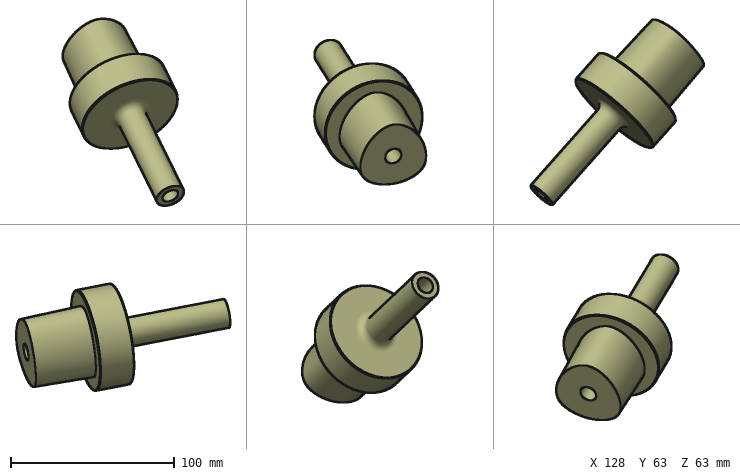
import cadquery as cq
import math

total_length = 128.0
shank_length = 38.0
flange_width = 22.0
flange_diameter = 63.0
flange_chamfer = 0.5
bar_diameter = 18.0
root_radius = 4.9
bore_diameter = 10.4

shank_small_radius = 21.2
shank_taper = 0.05
shank_large_radius = shank_small_radius + shank_taper * shank_length / 2
lobe_ratio = 0.06
lobe_count = 3
profile_points = 36

flange_end = shank_length + flange_width


def lobed_point(angle, mean_radius):
    """Point of a constant-width lobed curve with one lobe pointing up."""
    lobe_height = lobe_ratio * mean_radius
    phase = lobe_count * (angle - math.pi / 2)
    support = mean_radius + lobe_height * math.cos(phase)
    slope = -lobe_count * lobe_height * math.sin(phase)
    return (
        support * math.cos(angle) - slope * math.sin(angle),
        support * math.sin(angle) + slope * math.cos(angle),
    )


def lobed_points(mean_radius):
    step = 2 * math.pi / profile_points
    return [lobed_point(math.pi / 2 + i * step, mean_radius) for i in range(profile_points)]


def make_shank():
    return (
        cq.Workplane("YZ")
        .spline(lobed_points(shank_small_radius), periodic=True)
        .close()
        .workplane(offset=shank_length)
        .spline(lobed_points(shank_large_radius), periodic=True)
        .close()
        .loft(ruled=True)
    )


def make_flange():
    return (
        cq.Workplane("YZ", origin=(shank_length, 0, 0))
        .circle(flange_diameter / 2)
        .extrude(flange_width)
        .edges()
        .chamfer(flange_chamfer)
    )


def make_bar():
    """Bar with a concave root that flares out to meet the flange."""
    bar_radius = bar_diameter / 2
    arc_offset = root_radius * (1 - math.sqrt(0.5))
    return (
        cq.Workplane("XY")
        .moveTo(flange_end, 0)
        .lineTo(flange_end, bar_radius + root_radius)
        .threePointArc(
            (flange_end + arc_offset, bar_radius + arc_offset),
            (flange_end + root_radius, bar_radius),
        )
        .lineTo(total_length, bar_radius)
        .lineTo(total_length, 0)
        .close()
        .revolve(360, (0, 0, 0), (1, 0, 0))
    )


bore = cq.Workplane("YZ").circle(bore_diameter / 2).extrude(total_length)

result = make_shank().union(make_flange()).union(make_bar()).cut(bore)